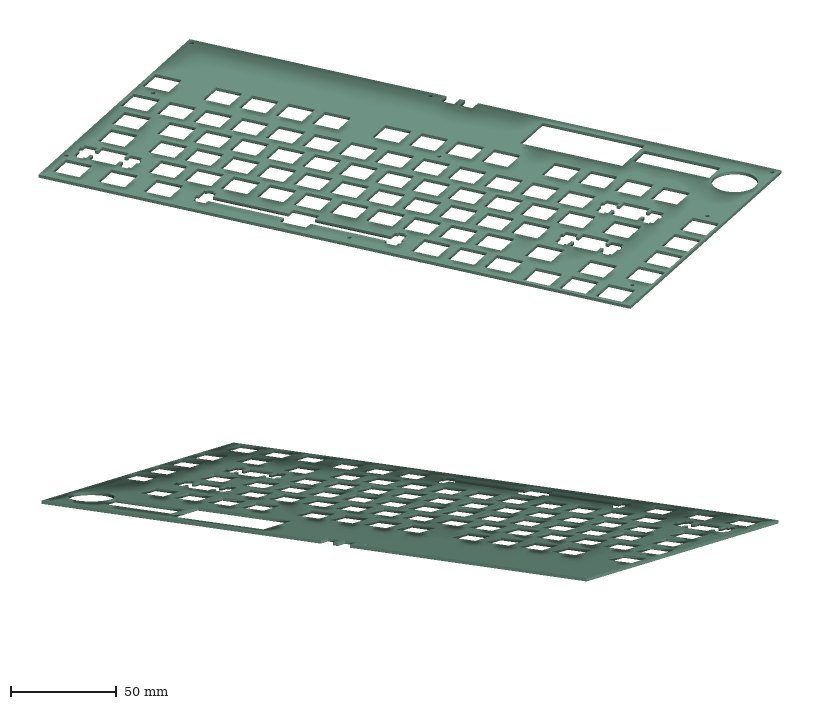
import cadquery as cq

PLATE_WIDTH = 312.0
PLATE_DEPTH = 160.0
PLATE_THICKNESS = 1.6

MAIN_BLOCK_WIDTH = 287.0
MAIN_BLOCK_UNITS = 15
KEY_UNIT = MAIN_BLOCK_WIDTH / MAIN_BLOCK_UNITS
SWITCH_SIZE = 14.0
FIRST_KEY_X = 9.0
BOTTOM_ROW_Y = 13.0
FUNCTION_ROW_GAP = 23.0
ARROW_DROP = 4.0
ARROW_COLUMN = 14.18
SIDE_COLUMN = 15.4

FUNCTION_GROUP_COUNT = 3
FUNCTION_GROUP_SIZE = 4
FUNCTION_GROUP_GAP = 2 / 3

SHORT_STABILIZER_REACH = 12.0
SPACEBAR_STABILIZER_REACH = 50.2
HOUSING_WIDTH = 6.5
HOUSING_TOP = 5.3
HOUSING_BOTTOM = -6.5
FOOT_WIDTH = 3.5
FOOT_LENGTH = 1.2
CHANNEL_WIDTH = 5.0
CLIP_DEPTH = 1.0
CLIP_BOTTOM = -0.7
CLIP_TOP = CHANNEL_WIDTH / 2

DISPLAY_WINDOW = (215.5, 143.0, 54.0, 24.0)
SIDE_WINDOW = (265.0, 144.0, 40.3, 12.2)

KNOB_DIAMETER = 22.0
KNOB_CENTER = (297.7, 139.5)

TONGUE_X = 144.0
TONGUE_WIDTH = 2.8
NOTCH_WIDTH = 7.0
NOTCH_DEPTH = 6.0

SCREW_DIAMETER = 2.2
SCREW_CENTERS = [
    (2.8, 156.7), (128.5, 156.7), (309.0, 156.5),
    (10.0, 101.5), (160.7, 101.5), (302.0, 101.5),
    (2.8, 23.7), (303.0, 20.3), (161.0, 5.5),
]


def column_x(column):
    return FIRST_KEY_X + column * KEY_UNIT


def row_y(row):
    """Height of a key row, counted upward from the spacebar row."""
    return BOTTOM_ROW_Y + row * KEY_UNIT


def run(first, count):
    """Columns of a run of adjacent single-unit keys."""
    return [first + i for i in range(count)]


SPACE_ROW, SHIFT_ROW, HOME_ROW, TAB_ROW, NUMBER_ROW = range(5)

SPACEBAR = 6.375
LEFT_SHIFT = 0.625
ENTER = 13.375
BACKSPACE = 13.5
ROW_COLUMNS = {
    SPACE_ROW: [0.125, 1.375, 2.625, SPACEBAR] + run(10, 3),
    SHIFT_ROW: [LEFT_SHIFT] + run(2.25, 10) + [12.625],
    HOME_ROW: [0.375] + run(1.75, 11) + [ENTER],
    TAB_ROW: [0.25] + run(1.5, 12) + [13.75],
    NUMBER_ROW: run(0, 13) + [BACKSPACE],
}


def switch_centers():
    centers = []
    for row, columns in ROW_COLUMNS.items():
        centers += [(column_x(column), row_y(row)) for column in columns]

    for row in (SHIFT_ROW, HOME_ROW, TAB_ROW, NUMBER_ROW):
        centers.append((column_x(SIDE_COLUMN), row_y(row)))

    for offset in (-1, 0, 1):
        centers.append((column_x(ARROW_COLUMN + offset), row_y(SPACE_ROW) - ARROW_DROP))
    centers.append((column_x(ARROW_COLUMN), row_y(SHIFT_ROW) - ARROW_DROP))

    function_y = row_y(NUMBER_ROW) + FUNCTION_ROW_GAP
    centers.append((column_x(0), function_y))
    for group in range(FUNCTION_GROUP_COUNT):
        first = 1 + FUNCTION_GROUP_GAP + group * (FUNCTION_GROUP_SIZE + FUNCTION_GROUP_GAP)
        centers += [(column_x(column), function_y) for column in run(first, FUNCTION_GROUP_SIZE)]
    return centers


def cutter(x_min, x_max, y_min, y_max):
    """Block through the plate thickness over the given rectangle."""
    block = cq.Workplane("XY").rect(x_max - x_min, y_max - y_min).extrude(PLATE_THICKNESS)
    return block.translate(((x_min + x_max) / 2, (y_min + y_max) / 2, 0))


def stabilizer_cutter(column, row, reach, feet_up=False):
    """Two housings with feet and outer clip notches, joined by a channel through the switch."""
    half_foot = FOOT_WIDTH / 2
    half_housing = HOUSING_WIDTH / 2
    clip = reach + half_housing + CLIP_DEPTH
    shape = cutter(-reach, reach, -CHANNEL_WIDTH / 2, CHANNEL_WIDTH / 2)
    for side in (-1, 1):
        x = side * reach
        shape = shape.union(cutter(x - half_housing, x + half_housing, HOUSING_BOTTOM, HOUSING_TOP))
        shape = shape.union(cutter(x - half_foot, x + half_foot, HOUSING_BOTTOM - FOOT_LENGTH, 0))
        shape = shape.union(cutter(min(x, side * clip), max(x, side * clip), CLIP_BOTTOM, CLIP_TOP))
    if feet_up:
        shape = shape.mirror("XZ")
    return shape.translate((column_x(column), row_y(row), 0))


plate = cq.Workplane("XY").box(PLATE_WIDTH, PLATE_DEPTH, PLATE_THICKNESS, centered=False)

plate = plate.cut(
    cq.Workplane("XY").pushPoints(switch_centers()).rect(SWITCH_SIZE, SWITCH_SIZE).extrude(PLATE_THICKNESS)
)

plate = plate.cut(stabilizer_cutter(BACKSPACE, NUMBER_ROW, SHORT_STABILIZER_REACH))
plate = plate.cut(stabilizer_cutter(ENTER, HOME_ROW, SHORT_STABILIZER_REACH))
plate = plate.cut(stabilizer_cutter(LEFT_SHIFT, SHIFT_ROW, SHORT_STABILIZER_REACH))
plate = plate.cut(stabilizer_cutter(SPACEBAR, SPACE_ROW, SPACEBAR_STABILIZER_REACH, feet_up=True))

for x, y, width, depth in (DISPLAY_WINDOW, SIDE_WINDOW):
    plate = plate.cut(cutter(x - width / 2, x + width / 2, y - depth / 2, y + depth / 2))

notch_offset = (TONGUE_WIDTH + NOTCH_WIDTH) / 2
for side in (-1, 1):
    x = TONGUE_X + side * notch_offset
    plate = plate.cut(
        cutter(x - NOTCH_WIDTH / 2, x + NOTCH_WIDTH / 2, PLATE_DEPTH - NOTCH_DEPTH, PLATE_DEPTH)
    )

plate = plate.cut(
    cq.Workplane("XY").center(*KNOB_CENTER).circle(KNOB_DIAMETER / 2).extrude(PLATE_THICKNESS)
)
plate = plate.cut(
    cq.Workplane("XY").pushPoints(SCREW_CENTERS).circle(SCREW_DIAMETER / 2).extrude(PLATE_THICKNESS)
)

result = plate